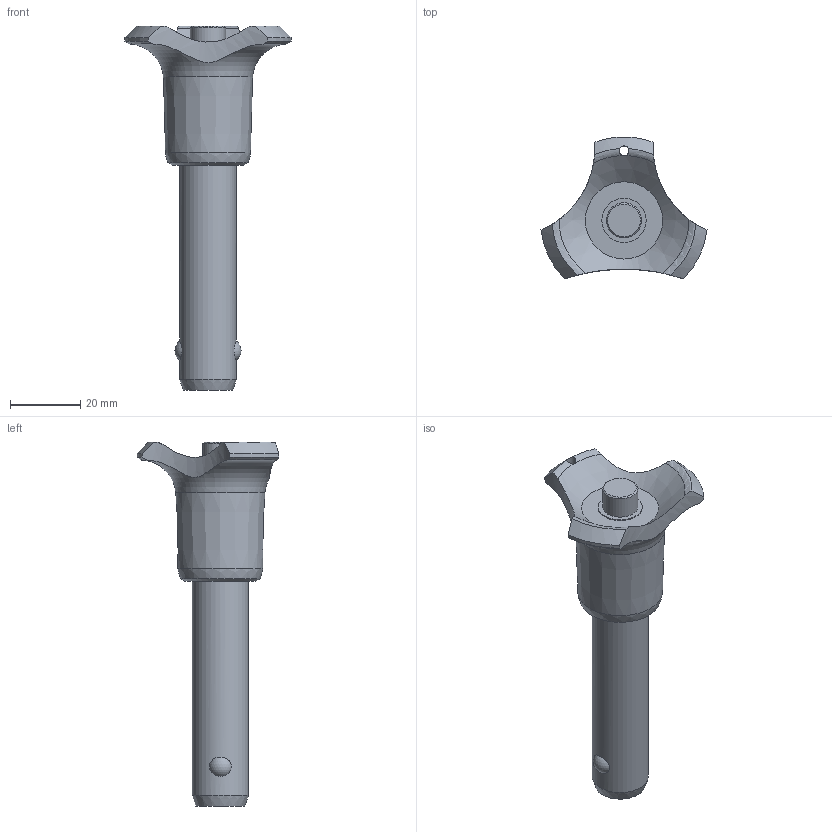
import cadquery as cq
import math


shaft_radius = 8.0
shaft_length = 64.0
nose_length = 3.0
nose_tip_radius = 7.0
nose_bulge = 0.1

ball_radius = 3.35
ball_offset = 6.1
ball_height_above_tip = 11.2

handle_height = 39.7
barrel_bottom_edge_radius = 10.1
barrel_chamfer_top_radius = 11.4
barrel_chamfer_height = 0.8
barrel_round_radius = 12.1
barrel_round_height = 3.6
barrel_round_bulge = 0.15
barrel_top_radius = 12.7

flare_depth = 14.4
lobe_radius = 23.8
lobe_underside_depth = 5.1
lobe_underside_radius = 22.9
rim_bottom_depth = 4.3
rim_top_depth = 3.3
rim_crest_radius = 20.5

lip_width = 2.0
bowl_slope = 41.0
bowl_floor_radius = 11.0
bowl_floor_depth = 7.0

button_radius = 5.0
button_chamfer = 0.35
collar_radius = 6.3
collar_height = 0.3

front_scallop_depth_y = -13.9
front_scallop_corner = (17.15, -16.75)
rear_lobe_half_width = 8.4
side_scallop_start_y = 24.5
side_scallop_points = [(rear_lobe_half_width, 18.5), (9.4, 13.2), (12.25, 7.05), (17.6, 0.9), (24.3, -2.95)]
outline_reach = 30.0

lanyard_hole_diameter = 2.8
lanyard_hole_y = 19.8


def arc_middle(start, end, bulge):
    """Point at the middle of a chord, pushed to the right of its direction by the bulge."""
    run = end[0] - start[0]
    rise = end[1] - start[1]
    length = math.hypot(run, rise)
    middle_x = (start[0] + end[0]) / 2 + bulge * rise / length
    middle_y = (start[1] + end[1]) / 2 - bulge * run / length
    return middle_x, middle_y


def make_shaft():
    """Straight shaft with a slightly rounded, tapered nose."""
    tip = (nose_tip_radius, -shaft_length)
    nose_start = (shaft_radius, -shaft_length + nose_length)
    return (
        cq.Workplane("XZ")
        .moveTo(0, -shaft_length)
        .lineTo(*tip)
        .threePointArc(arc_middle(tip, nose_start, nose_bulge), nose_start)
        .lineTo(shaft_radius, 0)
        .lineTo(0, 0)
        .close()
        .revolve(360, (0, 0, 0), (0, 1, 0))
    )


def make_balls():
    """Two opposite locking balls that stand partly out of the shaft."""
    ball_z = -shaft_length + ball_height_above_tip
    centres = [(-ball_offset, 0, ball_z), (ball_offset, 0, ball_z)]
    return cq.Workplane("XY").pushPoints(centres).sphere(ball_radius)


def make_handle_blank():
    """Round barrel and flared head with its bowl, before the lobes are cut."""
    flare_base = (barrel_top_radius, handle_height - flare_depth)
    flare_end = (lobe_underside_radius, handle_height - lobe_underside_depth)
    flare_run = flare_end[0] - flare_base[0]
    flare_rise = flare_end[1] - flare_base[1]
    flare_radius = (flare_run**2 + flare_rise**2) / (2 * flare_rise)
    half_turn = math.asin(flare_run / flare_radius) / 2
    flare_middle = (
        flare_end[0] - flare_radius * math.sin(half_turn),
        flare_end[1] - flare_radius * (1 - math.cos(half_turn)),
    )

    slope = math.radians(bowl_slope)
    lip_radius = lip_width / math.sin(slope)
    lip_middle = (
        rim_crest_radius - lip_radius * math.sin(slope / 2),
        handle_height - lip_radius * (1 - math.cos(slope / 2)),
    )
    lip_end = (
        rim_crest_radius - lip_width,
        handle_height - lip_radius * (1 - math.cos(slope)),
    )

    chamfer_top = (barrel_chamfer_top_radius, barrel_chamfer_height)
    round_top = (barrel_round_radius, barrel_round_height)
    floor_z = handle_height - bowl_floor_depth
    return (
        cq.Workplane("XZ")
        .moveTo(0, 0)
        .lineTo(barrel_bottom_edge_radius, 0)
        .lineTo(*chamfer_top)
        .threePointArc(arc_middle(chamfer_top, round_top, barrel_round_bulge), round_top)
        .lineTo(*flare_base)
        .threePointArc(flare_middle, flare_end)
        .lineTo(lobe_radius, handle_height - rim_bottom_depth)
        .lineTo(lobe_radius, handle_height - rim_top_depth)
        .lineTo(rim_crest_radius, handle_height)
        .threePointArc(lip_middle, lip_end)
        .lineTo(bowl_floor_radius, floor_z)
        .lineTo(0, floor_z)
        .close()
        .revolve(360, (0, 0, 0), (0, 1, 0))
    )


def make_lobe_prism():
    """Vertical prism whose three concave scallops separate the lobes."""
    corner_x, corner_y = front_scallop_corner
    right_curve = [(rear_lobe_half_width, side_scallop_start_y)] + side_scallop_points
    left_curve = [(-x, y) for x, y in right_curve]
    curve_end_y = right_curve[-1][1]
    return (
        cq.Workplane("XY")
        .moveTo(-corner_x, corner_y)
        .threePointArc((0, front_scallop_depth_y), (corner_x, corner_y))
        .lineTo(outline_reach, -outline_reach)
        .lineTo(outline_reach, curve_end_y)
        .lineTo(*right_curve[-1])
        .spline(right_curve[-2::-1], includeCurrent=True)
        .lineTo(rear_lobe_half_width, outline_reach)
        .lineTo(-rear_lobe_half_width, outline_reach)
        .lineTo(*left_curve[0])
        .spline(left_curve[1:], includeCurrent=True)
        .lineTo(-outline_reach, curve_end_y)
        .lineTo(-outline_reach, -outline_reach)
        .close()
        .extrude(handle_height)
    )


def make_lanyard_hole():
    """Vertical hole through the rear lobe."""
    return (
        cq.Workplane("XY")
        .center(0, lanyard_hole_y)
        .circle(lanyard_hole_diameter / 2)
        .extrude(handle_height)
    )


def make_button():
    """Push button on a low collar in the middle of the bowl floor."""
    floor_z = handle_height - bowl_floor_depth
    collar = cq.Workplane("XY").workplane(offset=floor_z).circle(collar_radius).extrude(collar_height)
    button = (
        cq.Workplane("XY")
        .workplane(offset=floor_z)
        .circle(button_radius)
        .extrude(bowl_floor_depth)
        .faces(">Z")
        .chamfer(button_chamfer)
    )
    return collar.union(button)


handle = make_handle_blank().intersect(make_lobe_prism()).cut(make_lanyard_hole())
result = handle.union(make_button()).union(make_shaft()).union(make_balls())